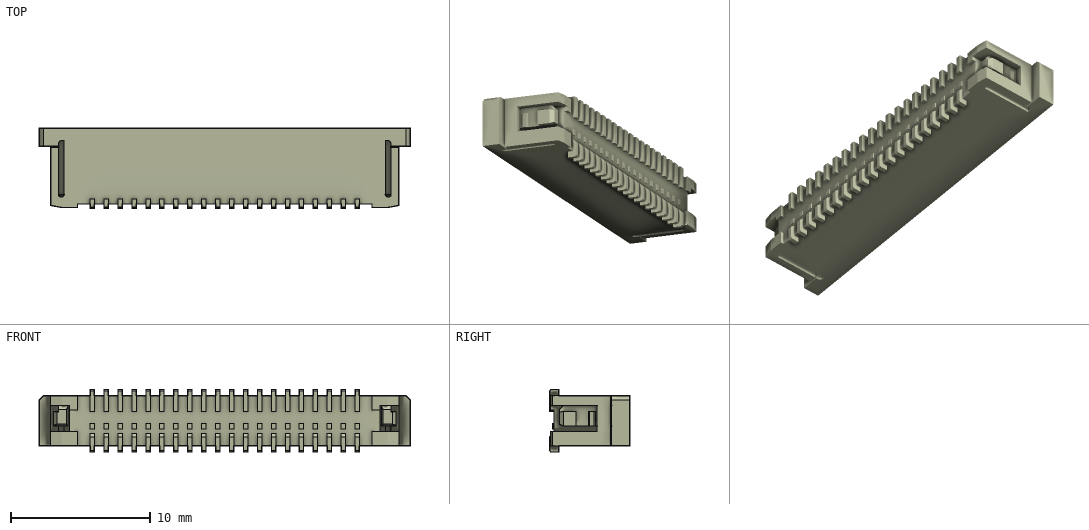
import cadquery as cq

overall_length = 26.6
overall_depth = 5.75
body_height = 3.6

body_length = 24.96
body_front = -5.45
flange_depth = 1.3
flange_chamfer = 0.3

nose_inner_x = 10.55
nose_flat_x = 11.68
nose_front_y = -5.7
nose_corner_y = -5.55
nose_upper_z = 2.57

pocket_inner_x = 11.12
pocket_back_y = -2.34
pocket_bottom = 1.04
pocket_top = 2.89

slot_inner_x = 11.52
slot_outer_x = 11.91
slot_back_y = -0.9
slot_front_y = -4.93
slot_back_radius = 0.2
slot_front_chamfer = 0.1
relief_width = 0.08

fitting_bottom = 1.44
fitting_top = 2.48
fitting_inner_x = 11.22
fitting_root_x = 11.8
fitting_bump_x = 12.05
fitting_hook_x = 12.28
fitting_tip_inner_x = 11.36
fitting_tip_outer_x = 12.04
fitting_front_y = -5.06
hook_back_y = -3.86
hook_taper_y = -4.77
bump_start_y = -2.58
bump_end_y = -2.9
bump_foot_y = -2.98
hook_lower_bevel = 0.12
hook_upper_bevel = 0.06

contact_count = 20
contact_pitch = 1.0
contact_width = 0.32
contact_back_y = -5.08
upper_contact_bottom = 2.48
upper_contact_top = 4.05
lower_contact_bottom = -0.45
lower_contact_shoulder = 0.64
lower_contact_top = 0.9
contact_tip_bevel = 0.1
pad_bottom = 1.2
pad_top = 1.62
pad_projection = 0.08

front_y = -overall_depth
half_body = body_length / 2
half_length = overall_length / 2


def box(x_range, y_range, z_range):
    """Box spanning the given (low, high) ranges."""
    (x0, x1), (y0, y1), (z0, z1) = x_range, y_range, z_range
    return cq.Workplane("XY").box(x1 - x0, y1 - y0, z1 - z0, centered=False).translate((x0, y0, z0))


def plan_prism(points, bottom, top):
    """Outline in the XY plane raised from bottom to top."""
    return cq.Workplane("XY").workplane(offset=bottom).polyline(points).close().extrude(top - bottom)


def profile_prism(points, x_start, x_end):
    """Outline of (Y, Z) points extended along X."""
    return cq.Workplane("YZ").workplane(offset=x_start).polyline(points).close().extrude(x_end - x_start)


def both_ends(shape):
    """The given +X end feature together with its mirror image at the -X end."""
    return shape.union(shape.mirror("YZ"))


def make_housing():
    """Main block with the wide rear flange, chamfered along its two upper end edges."""
    body = box((-half_body, half_body), (body_front, 0), (0, body_height))
    flange = box((-half_length, half_length), (-flange_depth, 0), (0, body_height))
    flange = flange.edges("|Y and >Z").chamfer(flange_chamfer)
    return body.union(flange)


def make_nose():
    """Raised front pad at one end, tapered towards the side and notched at mid height."""
    outline = [
        (nose_inner_x, body_front),
        (nose_inner_x, nose_front_y),
        (nose_flat_x, nose_front_y),
        (half_body, nose_corner_y),
        (half_body, body_front),
    ]
    nose = plan_prism(outline, 0, body_height)
    notch = box((nose_inner_x, half_body), (nose_front_y, body_front), (pocket_bottom, nose_upper_z))
    return nose.cut(notch)


def make_pocket():
    """Recess open to the side and the front."""
    return box((pocket_inner_x, half_body), (nose_front_y, pocket_back_y), (pocket_bottom, pocket_top))


def slot_prism(bottom, top):
    """Slot in plan: outer back corner rounded, both front corners clipped."""
    slot = box((slot_inner_x, slot_outer_x), (slot_front_y, slot_back_y), (bottom, top))
    slot = slot.edges("|Z and <Y").chamfer(slot_front_chamfer)
    return slot.edges("|Z and >Y").edges(">X").fillet(slot_back_radius)


def make_slot():
    """Full-height slot with the narrow relief that joins it to the side, along the flange."""
    slot = slot_prism(0, body_height)
    relief = box(
        (slot_outer_x, half_body),
        (-flange_depth - relief_width, -flange_depth),
        (0, body_height),
    )
    return slot.union(relief)


def make_fitting():
    """Plate filling the slot between the pocket levels, with a sprung and hooked bar in the pocket."""
    plate = slot_prism(fitting_bottom, pocket_top)
    plate = plate.intersect(
        box((slot_inner_x, slot_outer_x), (hook_taper_y, slot_back_y), (fitting_bottom, pocket_top))
    )
    bar_outline = [
        (fitting_inner_x, pocket_back_y),
        (fitting_root_x, pocket_back_y),
        (fitting_bump_x, bump_start_y),
        (fitting_bump_x, bump_end_y),
        (slot_outer_x, bump_foot_y),
        (slot_outer_x, hook_back_y),
        (fitting_hook_x, hook_back_y),
        (fitting_hook_x, hook_taper_y),
        (fitting_tip_outer_x, fitting_front_y),
        (fitting_tip_inner_x, fitting_front_y),
        (fitting_inner_x, hook_taper_y),
    ]
    bar_profile = [
        (pocket_back_y, fitting_bottom),
        (pocket_back_y, fitting_top),
        (hook_taper_y, fitting_top),
        (fitting_front_y, fitting_top - hook_upper_bevel),
        (fitting_front_y, fitting_bottom + hook_lower_bevel),
        (hook_taper_y, fitting_bottom),
    ]
    bar = plan_prism(bar_outline, fitting_bottom, fitting_top)
    bar = bar.intersect(profile_prism(bar_profile, fitting_inner_x, fitting_hook_x))
    web_slope = hook_taper_y - fitting_front_y
    web_profile = [
        (pocket_back_y, fitting_top - hook_upper_bevel),
        (pocket_back_y, pocket_top),
        (hook_taper_y, pocket_top),
        (fitting_front_y, pocket_top - web_slope),
        (fitting_front_y, fitting_top - hook_upper_bevel),
    ]
    web = profile_prism(web_profile, fitting_inner_x, slot_outer_x)
    web = web.intersect(plan_prism(bar_outline, fitting_bottom, pocket_top))
    return plate.union(bar).union(web)


def make_contact():
    """One contact centred on X = 0: upper leg, lower leg and the pad between them."""
    upper_leg = [
        (contact_back_y, upper_contact_bottom),
        (contact_back_y, upper_contact_top),
        (front_y + contact_tip_bevel, upper_contact_top),
        (front_y, upper_contact_top - contact_tip_bevel),
        (front_y, upper_contact_bottom),
    ]
    lower_leg = [
        (contact_back_y, lower_contact_bottom),
        (contact_back_y, lower_contact_top),
        (body_front, lower_contact_top),
        (front_y, lower_contact_shoulder),
        (front_y, lower_contact_bottom + contact_tip_bevel),
        (front_y + contact_tip_bevel, lower_contact_bottom),
    ]
    half_width = contact_width / 2
    pad = box(
        (-half_width, half_width),
        (body_front - pad_projection, contact_back_y),
        (pad_bottom, pad_top),
    )
    upper = profile_prism(upper_leg, -half_width, half_width)
    lower = profile_prism(lower_leg, -half_width, half_width)
    return upper.union(lower).union(pad)


result = make_housing().union(both_ends(make_nose()))
result = result.cut(both_ends(make_pocket())).cut(both_ends(make_slot()))
result = result.union(both_ends(make_fitting()))

contact = make_contact()
first_contact_x = -(contact_count - 1) * contact_pitch / 2
for index in range(contact_count):
    result = result.union(contact.translate((first_contact_x + index * contact_pitch, 0, 0)))